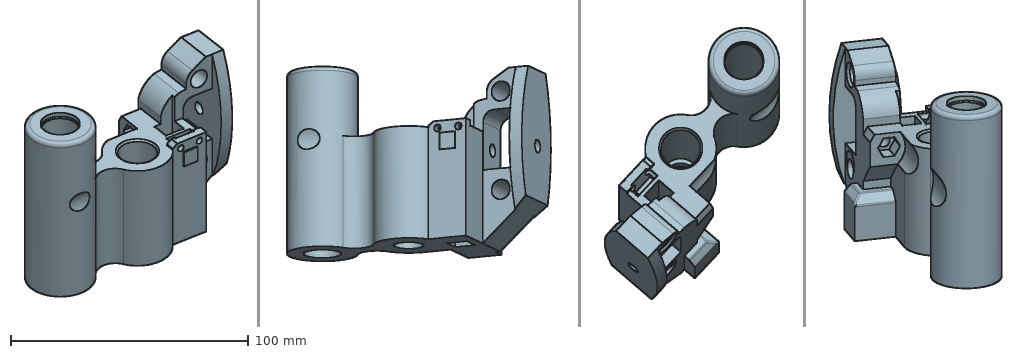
import cadquery as cq
import math


barrel_radius = 15.0
barrel_height = 78.0
barrel_rim_fillet = 2.0
barrel_bore_diameter = 16.0
barrel_counterbore_diameter = 16.6
barrel_counterbore_depth = 2.0
barrel_taper_length = 0.7

body_height = 48.3
boss_y = 40.0
boss_through_diameter = 12.7
boss_bore_diameter = 16.6
boss_mouth_diameter = 18.3
boss_floor = 5.0
web_half_width = 3.66

flange_left = -27.1
flange_width = 18
flange_right = flange_left + flange_width
flange_top = 74.9
top_front_y = 82.0
ear_y = 78.4
ear_z = 65.0
ear_radius = 6.6
ear_foot_z = 62.5
shoulder_start = (68.0, 61.8)
shoulder_middle = (63.3, 58.5)
shoulder_end_z = 52.1
step_y = 59.7
nose_y = 49.7
nose_bottom = 33.9
nose_bevel_width = 1.9
nose_bevel_height = 3.4

plate_back_y = 91.03
plate_thickness = 5.8
plate_front_y = plate_back_y - plate_thickness
plate_bottom = 11.9
plate_bulge_left = 5.4
plate_bulge_right = 6.6
underside_slope_z = 18.5

window_front_y = 70.2
window_bottom = 31.7
window_top = 57.4
window_fillet = 5.0

block_right = 8.1
block_back_y = 70
clamp_left = 3.6
clamp_front_y = 52.6
clamp_top = 50.7
clamp_bevel_width = 2.3
clamp_bevel_height = 1.8
pad_size = 7.2
pad_height = 0.6

foot_left = -33.03
foot_front_y = 52.6
foot_back_y = 68.0
foot_top = 20.1
foot_side_bevel = 3.2
foot_front_bevel = 4.1
foot_edge_round = 1.0

bolt_x = -18.8
bolt_z = 42.0
bolt_diameter = 5.5
nut_corner_diameter = 9.8
nut_depth = 8.0

groove_radius = 11.0
groove_bottom_x = -11.72
groove_z = 41.8
relief_bottom_x = 14.1
relief_z = 46.5

cross_hole_diameter = 8.5
cross_mouth_diameter = 10.8
lower_hole_z = 22.6
spot_face_z = 25.1
spot_face_depth = 0.1

shaft_x = (-10.8, -2.4)
shaft_y = (56.5, 65.7)
pocket_left = -0.6
pocket_floor_right = 2.2
pocket_top_right = 4.3
pocket_floor_z = 43.5
pocket_y = (56.7, 66.4)
pin_z = 47.6
pin_diameter = 3.0


def box(x_range, y_range, z_range):
    """Axis-aligned block between three pairs of limits."""
    (x0, x1), (y0, y1), (z0, z1) = x_range, y_range, z_range
    return cq.Workplane("XY").box(x1 - x0, y1 - y0, z1 - z0, centered=False).translate((x0, y0, z0))


def rod_x(diameter, y, z, x_range):
    """Cylinder parallel to X."""
    x0, x1 = x_range
    return cq.Workplane("YZ", origin=(x0, y, z)).circle(diameter / 2).extrude(x1 - x0)


def rod_y(diameter, x, z, y_range):
    """Cylinder parallel to Y."""
    y0, y1 = y_range
    return cq.Workplane("XZ", origin=(x, y0, z)).circle(diameter / 2).extrude(y0 - y1)


def rod_z(diameter, y, z_range):
    """Vertical cylinder centred on X = 0."""
    z0, z1 = z_range
    return cq.Workplane("XY", origin=(0, y, z0)).circle(diameter / 2).extrude(z1 - z0)


def prism_x(points, x_range):
    """Polygon of (y, z) points swept along X."""
    x0, x1 = x_range
    return cq.Workplane("YZ", origin=(x0, 0, 0)).polyline(points).close().extrude(x1 - x0)


def prism_y(points, y_range):
    """Polygon of (x, z) points swept along Y."""
    y0, y1 = y_range
    return cq.Workplane("XZ", origin=(0, y0, 0)).polyline(points).close().extrude(y0 - y1)


def cone(plane, origin, start_diameter, end_diameter, offset):
    """Round taper from the origin to a signed offset along the plane's normal."""
    start = cq.Workplane(plane, origin=origin).circle(start_diameter / 2)
    return start.workplane(offset=offset).circle(end_diameter / 2).loft()


def make_barrel():
    """Upright cylinder with a rounded top rim."""
    return rod_z(2 * barrel_radius, 0, (0, barrel_height)).faces(">Z").edges().fillet(barrel_rim_fillet)


def make_web():
    """Web whose hollow round flanks are tangent to both the barrel and the boss."""
    waist_y = boss_y / 2
    flank_radius = (waist_y**2 + web_half_width**2 - barrel_radius**2) / (
        2 * (barrel_radius - web_half_width)
    )
    tangent_ratio = barrel_radius / (barrel_radius + flank_radius)
    tangent_x = (web_half_width + flank_radius) * tangent_ratio
    tangent_y = waist_y * tangent_ratio
    return (
        cq.Workplane("XY")
        .moveTo(tangent_x, tangent_y)
        .threePointArc((web_half_width, waist_y), (tangent_x, boss_y - tangent_y))
        .lineTo(-tangent_x, boss_y - tangent_y)
        .threePointArc((-web_half_width, waist_y), (-tangent_x, tangent_y))
        .close()
        .extrude(body_height)
    )


def on_ear(angle):
    """Point (y, z) on the round ear at an angle in radians."""
    return (ear_y + ear_radius * math.cos(angle), ear_z + ear_radius * math.sin(angle))


def make_flange():
    """Flange with a slope tangent to the ear, a round shoulder and a bevelled nose."""
    corner_dy = top_front_y - ear_y
    corner_dz = flange_top - ear_z
    tangent_swing = math.acos(ear_radius / math.hypot(corner_dy, corner_dz))
    slope_angle = math.atan2(corner_dz, corner_dy) + tangent_swing
    flange = (
        cq.Workplane("YZ", origin=(flange_left, 0, 0))
        .moveTo(plate_back_y, 0)
        .lineTo(plate_back_y, flange_top)
        .lineTo(top_front_y, flange_top)
        .lineTo(*on_ear(slope_angle))
        .threePointArc(on_ear((slope_angle + math.pi) / 2), on_ear(math.pi))
        .lineTo(ear_y - ear_radius, ear_foot_z)
        .lineTo(*shoulder_start)
        .threePointArc(shoulder_middle, (step_y, shoulder_end_z))
        .lineTo(step_y, body_height)
        .lineTo(nose_y, body_height)
        .lineTo(nose_y, nose_bottom)
        .lineTo(step_y, nose_bottom - (step_y - nose_y))
        .lineTo(step_y, 0)
        .close()
        .extrude(flange_width)
    )
    nose_bevel = prism_y(
        [
            (flange_left, body_height - nose_bevel_height),
            (flange_left, body_height),
            (flange_left + nose_bevel_width, body_height),
        ],
        (nose_y, step_y),
    )
    return flange.cut(nose_bevel)


def make_plate():
    """Plate whose two sides bulge beyond the flange as shallow arcs."""
    middle_z = (flange_top + plate_bottom) / 2
    return (
        cq.Workplane("XZ", origin=(0, plate_back_y, 0))
        .moveTo(flange_left, flange_top)
        .lineTo(flange_right, flange_top)
        .threePointArc((flange_right + plate_bulge_right, middle_z), (flange_right, plate_bottom))
        .lineTo(flange_left, plate_bottom)
        .threePointArc((flange_left - plate_bulge_left, middle_z), (flange_left, flange_top))
        .close()
        .extrude(plate_thickness)
    )


def make_foot():
    """Foot with 45 degree bevels on its two outer top edges, blended at top and bottom."""
    foot = box((foot_left, -barrel_radius), (foot_front_y, foot_back_y), (0, foot_top))
    side_bevel = prism_y(
        [
            (foot_left, foot_top - foot_side_bevel),
            (foot_left, foot_top),
            (foot_left + foot_side_bevel, foot_top),
        ],
        (foot_front_y, foot_back_y),
    )
    front_bevel = prism_x(
        [
            (foot_front_y, foot_top - foot_front_bevel),
            (foot_front_y, foot_top),
            (foot_front_y + foot_front_bevel, foot_top),
        ],
        (foot_left, -barrel_radius),
    )
    foot = foot.cut(side_bevel).cut(front_bevel)
    margin = 0.1
    bevel_edges = cq.selectors.BoxSelector(
        (foot_left - margin, foot_front_y - margin, foot_top - foot_front_bevel - margin),
        (-barrel_radius - margin, foot_back_y - margin, foot_top + margin),
    )
    return foot.edges(bevel_edges).fillet(foot_edge_round)


def make_clamp_bar():
    """Raised bar along the outer edge of the block with a bevelled front end."""
    return prism_x(
        [
            (clamp_front_y, body_height),
            (clamp_front_y, clamp_top - clamp_bevel_height),
            (clamp_front_y + clamp_bevel_width, clamp_top),
            (block_back_y, clamp_top),
            (block_back_y, body_height),
        ],
        (clamp_left, block_right),
    )


def make_window():
    """Opening behind the flange with one rounded corner."""
    window = box(
        (flange_left, flange_right), (window_front_y, plate_front_y), (window_bottom, window_top)
    )
    return window.edges("|X and <Y and >Z").fillet(window_fillet)


def make_pocket():
    """Slot whose sloping wall undercuts the clamp bar."""
    return prism_y(
        [
            (pocket_left, pocket_floor_z),
            (pocket_floor_right, pocket_floor_z),
            (pocket_top_right, clamp_top),
            (pocket_left, clamp_top),
        ],
        pocket_y,
    )


boss = rod_z(2 * barrel_radius, boss_y, (0, body_height))
boss_side = box((-barrel_radius, 0), (boss_y, block_back_y), (0, body_height))
block = box((flange_right, block_right), (boss_y, block_back_y), (0, body_height))
pad_y = sum(pocket_y) / 2
pad = box(
    (block_right, block_right + pad_height),
    (pad_y - pad_size / 2, pad_y + pad_size / 2),
    (groove_z - pad_size / 2, groove_z + pad_size / 2),
)

result = make_barrel()
for piece in (
    boss,
    make_web(),
    boss_side,
    block,
    make_flange(),
    make_plate(),
    make_foot(),
    make_clamp_bar(),
    pad,
):
    result = result.union(piece)

underside = [(block_back_y, 0), (plate_back_y, underside_slope_z), (plate_back_y, 0)]
result = result.cut(prism_x(underside, (foot_left, block_right)))

counterbore_z = barrel_height - barrel_counterbore_depth
result = result.cut(rod_z(barrel_bore_diameter, 0, (0, barrel_height)))
result = result.cut(rod_z(barrel_counterbore_diameter, 0, (counterbore_z, barrel_height)))
result = result.cut(
    cone(
        "XY",
        (0, 0, counterbore_z),
        barrel_counterbore_diameter,
        barrel_bore_diameter,
        -barrel_taper_length,
    )
)

boss_mouth_depth = (boss_mouth_diameter - boss_bore_diameter) / 2
result = result.cut(rod_z(boss_through_diameter, boss_y, (0, body_height)))
result = result.cut(rod_z(boss_bore_diameter, boss_y, (boss_floor, body_height)))
result = result.cut(
    cone("XY", (0, boss_y, body_height), boss_mouth_diameter, boss_bore_diameter, -boss_mouth_depth)
)

groove_x = groove_bottom_x - groove_radius
relief_x = relief_bottom_x + groove_radius
result = result.cut(rod_y(2 * groove_radius, groove_x, groove_z, (-barrel_radius, nose_y)))
result = result.cut(rod_y(2 * groove_radius, relief_x, relief_z, (-barrel_radius, barrel_radius)))

result = result.cut(rod_y(bolt_diameter, bolt_x, bolt_z, (nose_y, plate_back_y)))
nut_outline = cq.Workplane("XZ", origin=(bolt_x, nose_y, bolt_z)).polygon(6, nut_corner_diameter)
result = result.cut(nut_outline.extrude(-nut_depth))

for hole_z in (ear_z, lower_hole_z):
    result = result.cut(rod_x(cross_hole_diameter, ear_y, hole_z, (flange_left, flange_right)))
cross_mouth_depth = (cross_mouth_diameter - cross_hole_diameter) / 2
result = result.cut(
    cone(
        "YZ",
        (flange_left, ear_y, ear_z),
        cross_mouth_diameter,
        cross_hole_diameter,
        cross_mouth_depth,
    )
)
spot_face_x = (flange_left, flange_left + spot_face_depth)
result = result.cut(rod_x(cross_mouth_diameter, ear_y, spot_face_z, spot_face_x))

result = result.cut(make_window())
result = result.cut(box(shaft_x, shaft_y, (0, flange_top)))
result = result.cut(make_pocket())
for pin_y in pocket_y:
    result = result.cut(rod_x(pin_diameter, pin_y, pin_z, (pocket_left, block_right)))